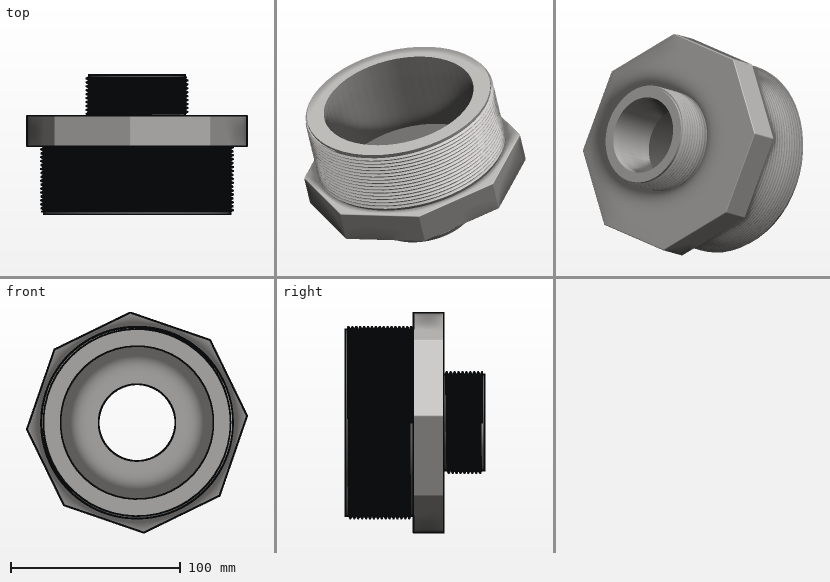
import cadquery as cq
import math

flange_thickness = 18.0
across_flats = 120.0
flange_turn = 3.5
flange_sides = 8
corner_fillet = 1.0
rim_fillet = 0.5

large_length = 40.0
large_root_diameter = 110.07
small_length = 24.0
small_root_diameter = 56.66

thread_pitch = 25.4 / 11
thread_depth = 1.48
thread_base_width = 1.6
thread_crest_width = 0.1
thread_overlap = 0.3
trim_allowance = 4 * thread_depth
plain_lip = 1.5

large_bore_diameter = 90.0
small_bore_diameter = 45.0
large_bore_depth = 48.5

large_face = 0.0
large_end = large_face - large_length
small_face = large_face + flange_thickness
small_end = small_face + small_length


def cylinder(diameter, start, end):
    """Cylinder about the Y axis between two Y stations."""
    return cq.Workplane("XZ", origin=(0, end, 0)).circle(diameter / 2).extrude(end - start)


def make_flange():
    corner_diameter = across_flats / math.cos(math.pi / flange_sides)
    blank = (
        cq.Workplane("XZ", origin=(0, small_face, 0))
        .polygon(flange_sides, corner_diameter)
        .extrude(flange_thickness)
    )
    rounded = blank.edges("|Y").fillet(corner_fillet)
    rounded = rounded.faces("<Y or >Y").edges().fillet(rim_fillet)
    return rounded.rotate((0, 0, 0), (0, 1, 0), -flange_turn)


def make_thread(root_diameter, length):
    """Helical ridge about Z starting at Z = 0, closed by a flat face at each end."""
    root_radius = root_diameter / 2
    inner_radius = root_radius - thread_overlap
    crest_radius = root_radius + thread_depth
    flank_slope = (thread_base_width - thread_crest_width) / (2 * thread_depth)
    inner_half_width = thread_base_width / 2 + thread_overlap * flank_slope
    crest_half_width = thread_crest_width / 2
    ridge_rise = length - 2 * inner_half_width

    def helix(radius, offset):
        start = cq.Vector(0, 0, inner_half_width + offset)
        return cq.Wire.makeHelix(thread_pitch, ridge_rise, radius, start)

    rails = [
        helix(inner_radius, -inner_half_width),
        helix(crest_radius, -crest_half_width),
        helix(crest_radius, crest_half_width),
        helix(inner_radius, inner_half_width),
    ]
    next_rails = rails[1:] + rails[:1]
    faces = [cq.Face.makeRuledSurface(a, b) for a, b in zip(rails, next_rails)]
    for position in (0, 1):
        corners = [rail.positionAt(position) for rail in rails]
        faces.append(cq.Face.makeFromWires(cq.Wire.makePolygon(corners, close=True)))
    return cq.Workplane(cq.Solid.makeSolid(cq.Shell.makeShell(faces)))


def threaded_spigot(root_diameter, start, end, thread_start, thread_end):
    """Spigot between two Y stations, threaded from thread_start up to thread_end."""
    ridge_start = min(start, thread_start)
    ridge_end = max(end, thread_end)
    ridge = make_thread(root_diameter, ridge_end - ridge_start)
    ridge = ridge.rotate((0, 0, 0), (1, 0, 0), 90).translate((0, ridge_end, 0))
    ridge = ridge.intersect(cylinder(root_diameter + trim_allowance, thread_start, thread_end))
    return cylinder(root_diameter, start, end).union(ridge)


large_spigot = threaded_spigot(
    large_root_diameter, large_end, large_face, large_end + plain_lip, large_face + thread_overlap
)
small_spigot = threaded_spigot(
    small_root_diameter, small_face, small_end, small_face - thread_overlap, small_end - plain_lip
)

body = make_flange().union(large_spigot).union(small_spigot)
body = body.cut(cylinder(large_bore_diameter, large_end, large_end + large_bore_depth))
body = body.cut(cylinder(small_bore_diameter, large_end, small_end))
result = body.solids()